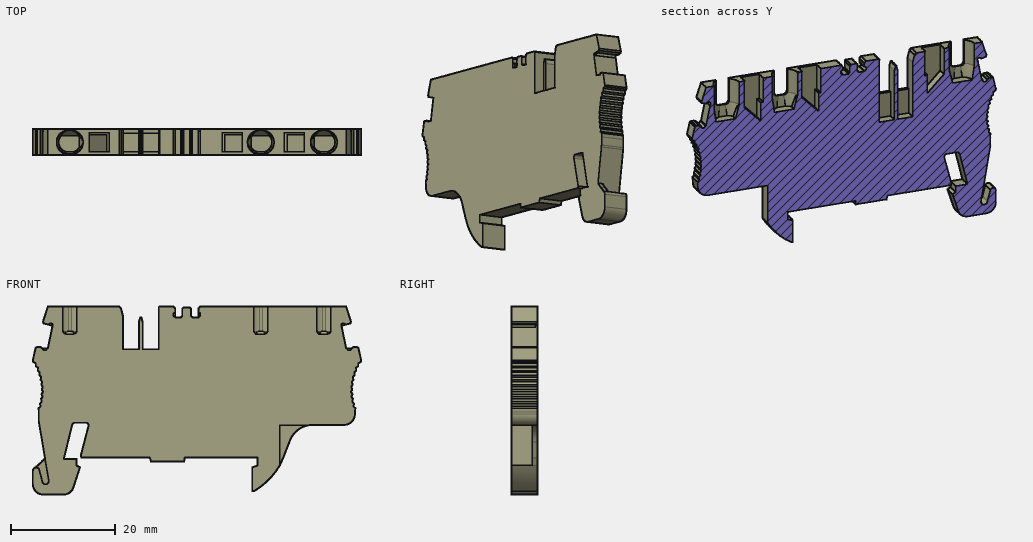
import cadquery as cq
import math

LENGTH = 62.8
THICKNESS = 5.0
HEIGHT = 36.0
FRONT = -THICKNESS / 2
BACK = THICKNESS / 2

BASE = 7.1
FLANGE = 13.3
PAD_BOTTOM = 6.35
JAW_TOP = 6.85
FOOT_TIP = 0.7
CLIP_STEP = 5.6

SHOULDER_IN = 2.9
LIP_OUTER = (1.95, 33.1)
LIP_CORNER = (2.1, 32.7)
NOTCH_TOP = (3.8, 32.3)
NOTCH_BOTTOM = (2.9, 28.0)
SHELF_CROWN = [(1.8, 28.0), (1.45, 28.3), (0.9, 28.3), (0.55, 28.15)]
END_TIP = 25.7
RELIEF_RADIUS = 0.41
NOTCH_RELIEFS_IN = [(3.45, 32.35), (2.3, 28.0)]
BACK_SKIN = 0.45

GRIP_RADIUS = 10.05
GRIP_DEEPEST = 1.7
GRIP_CENTRE_Z = 19.9
GRIP_TOP = 25.4
GRIP_BOTTOM = 16.5
GRIP_TEETH = 10
TOOTH_DEPTH = 0.25

LEG_X = 1.1
LEG_TOP = 15.8
LEG_BEND = 14.1
LEG_BEND_RADIUS = 2.2
HOOK_SLIT_RADIUS = 0.6
HOOK_SLIT_CENTRE = (2.45, 2.65)
HOOK_LIP_Z = 4.5
HOOK_LIP_CREST = (0.66, 5.18)
HOOK_LIP_INNER = (1.225, 4.87)
HOOK_ROUND = 2.1
HOOK_HEEL_X = 7.35
JAW_CORNER = (9.05, 5.2)
JAW_X = 8.4
SPRING_SLOT_BOTTOM_X = (5.95, 9.2)
SPRING_SLOT_TOP_X = (7.65, 10.8)
SPRING_SLOT_TOP = 13.75
SPRING_SLOT_ROUND = 0.5
SPRING_SLOT_LIP = 0.4
SPRING_SLOT_CHAMFER = 0.1
WEB_THICKNESS = 1.05
WEB_EDGE = [(0.3, 5.0), (0.55, 5.3), (1.6, 6.15), (2.4, 7.05)]
WEB_RIGHT_X = 3.8
WEB_LEFT_X = 1.6
WEB_BOTTOM = 1.6

PAD_BASE_X = (22.35, 29.1)
PAD_FACE_X = (22.6, 28.95)

FOOT_INNER_X = 43.0
FOOT_CLAW_X = 41.95
FOOT_CLAW_TOP = 5.3
FOOT_TIP_WIDTH = 0.4
FOOT_CURVE = (45.2, 2.95)
FOOT_BACK_X = 47.25
GUSSET_KNEE = (47.95, BASE)
GUSSET_CURVE = [(49.1, 10.2), (50.7, 12.4), (53.3, FLANGE)]
GUSSET_OVERLAP = 0.6
FLANGE_END_IN = 1.2
FLANGE_ROUND = 2.15

SLOT_LEFT = 17.3
SLOT_LEAD_IN = [(16.5, HEIGHT), (16.9, HEIGHT - 0.4), (SLOT_LEFT, HEIGHT - 1.8)]
SLOT_CHAMFER = 0.2
SLOT_RIGHT = 24.05
SLOT_FLOOR = HEIGHT - 8.15
BLADE_LEFT = 20.3
BLADE_RIGHT = 21.05
BLADE_SHOULDER = HEIGHT - 2.95
BLADE_TIP = HEIGHT - 2.1
BLADE_TIP_WIDTH = 0.25
CONTACT_Y = (-1.8, 1.7)
CONTACT_DEPTH = 5.0

LABEL_LEFT = 27.25
RIB_LEFT = 28.6
RIB_RIGHT = 30.3
LABEL_RIGHT = 31.65
LABEL_FLOOR = HEIGHT - 2.1
RIB_TOP = HEIGHT - 0.2
LABEL_CHAMFER = 0.4
RIB_CHAMFER = 0.25
LABEL_RELIEF_Z = HEIGHT - 1.6

DRIVER_HOLES = [(7.1, -1), (43.6, 1), (55.65, 1)]
DRIVER_WIDTH = 5.1
DRIVER_DEPTH_Y = 4.5
DRIVER_Y = -0.03
DRIVER_STRAIGHT = 4.8
DRIVER_DEPTH = 7.55
DRIVER_FLOOR_WIDTH = 4.3
DRIVER_FLOOR_DEPTH_Y = 3.8
DRIVER_FLAT_WIDTH = 4.0
DRIVER_FLAT_DEPTH_Y = 3.0
DRIVER_FLAT_SHIFT_X = 0.2
DRIVER_FLAT_SHIFT_Y = -0.28
WINDOW_WIDTH = 2.7
WINDOW_DEPTH = 5.3
WINDOW_ROUND = 0.75

WIRE_HOLES = [(10.8, 1, 0.45), (36.25, -1, 0.45), (48.1, -1, 0.55)]
WIRE_WIDTH = 3.85
WIRE_Y = (-1.8, 1.75)
WIRE_LEDGE_DEPTH = 5.0
WIRE_BACK_LEDGE = 0.3
WIRE_FLOOR_DEPTH = 8.8


def mirrored(point):
    """Same point measured in from the right end instead of the left."""
    return (LENGTH - point[0], point[1])


def grip_points():
    """Crests and roots of the left grip, from top to bottom."""
    centre_x = GRIP_DEEPEST - GRIP_RADIUS
    start = math.asin((GRIP_TOP - GRIP_CENTRE_Z) / GRIP_RADIUS)
    end = math.asin((GRIP_BOTTOM - GRIP_CENTRE_Z) / GRIP_RADIUS)
    half_step = (end - start) / (2 * GRIP_TEETH)
    points = []
    for i in range(2 * GRIP_TEETH + 1):
        angle = start + i * half_step
        radius = GRIP_RADIUS + TOOTH_DEPTH * (i % 2)
        points.append((centre_x + radius * math.cos(angle), GRIP_CENTRE_Z + radius * math.sin(angle)))
    return points


def end_points():
    """Left end from the top shoulder down to the bottom of the grip."""
    lip = [(SHOULDER_IN, HEIGHT), LIP_OUTER, LIP_CORNER]
    return lip + [NOTCH_TOP, NOTCH_BOTTOM] + SHELF_CROWN + [(0, END_TIP)] + grip_points()


def extruded(outline, y_low, y_high):
    """Extrude a closed XZ outline between two Y positions."""
    return outline.extrude(y_high - y_low).translate((0, y_high, 0))


def prism(points, y_low, y_high):
    return extruded(cq.Workplane("XZ").polyline(points).close(), y_low, y_high)


def box(x_range, y_range, z_range):
    size = [high - low for low, high in (x_range, y_range, z_range)]
    corner = (x_range[0], y_range[0], z_range[0])
    return cq.Workplane("XY").box(*size, centered=False).translate(corner)


def round_corner(body, x, z, radius):
    """Fillet the edge along Y that passes through (x, z)."""
    return body.edges(cq.selectors.NearestToPointSelector((x, 0, z))).fillet(radius)


def main_body():
    slit_x, slit_z = HOOK_SLIT_CENTRE
    slot_bottom = SPRING_SLOT_BOTTOM_X
    slot_top = SPRING_SLOT_TOP_X
    right_end = [mirrored(p) for p in end_points()]
    outline = (
        cq.Workplane("XZ")
        .polyline(end_points())
        .lineTo(LEG_X, LEG_TOP)
        .lineTo(LEG_X, LEG_BEND)
        .lineTo(slit_x + HOOK_SLIT_RADIUS, slit_z)
        .threePointArc((slit_x, slit_z - HOOK_SLIT_RADIUS), (slit_x - HOOK_SLIT_RADIUS, slit_z))
        .lineTo(*HOOK_LIP_INNER)
        .threePointArc(HOOK_LIP_CREST, (0, HOOK_LIP_Z))
        .lineTo(0, 0)
        .lineTo(HOOK_HEEL_X, 0)
        .lineTo(*JAW_CORNER)
        .lineTo(JAW_X, CLIP_STEP)
        .lineTo(JAW_X, JAW_TOP)
        .lineTo(slot_bottom[0], JAW_TOP)
        .lineTo(slot_top[0], SPRING_SLOT_TOP)
        .lineTo(slot_top[1], SPRING_SLOT_TOP)
        .lineTo(slot_bottom[1], BASE + SPRING_SLOT_LIP)
        .lineTo(slot_bottom[1] + SPRING_SLOT_CHAMFER, BASE)
        .lineTo(PAD_BASE_X[0], BASE)
        .lineTo(PAD_FACE_X[0], PAD_BOTTOM)
        .lineTo(PAD_FACE_X[1], PAD_BOTTOM)
        .lineTo(PAD_BASE_X[1], BASE)
        .lineTo(FOOT_INNER_X, BASE)
        .lineTo(FOOT_INNER_X, CLIP_STEP)
        .lineTo(FOOT_CLAW_X, FOOT_CLAW_TOP)
        .lineTo(FOOT_CLAW_X, FOOT_TIP)
        .lineTo(FOOT_CLAW_X + FOOT_TIP_WIDTH, FOOT_TIP)
        .threePointArc(FOOT_CURVE, (FOOT_BACK_X, CLIP_STEP))
        .lineTo(FOOT_BACK_X, FLANGE)
        .lineTo(LENGTH - FLANGE_END_IN, FLANGE)
        .lineTo(LENGTH - FLANGE_END_IN, LEG_TOP)
    )
    for point in reversed(right_end):
        outline = outline.lineTo(*point)
    body = extruded(outline.close(), FRONT, BACK)
    body = round_corner(body, 0, 0, HOOK_ROUND)
    body = round_corner(body, HOOK_HEEL_X, 0, HOOK_ROUND)
    body = round_corner(body, LENGTH - FLANGE_END_IN, FLANGE, FLANGE_ROUND)
    body = round_corner(body, LEG_X, LEG_BEND, LEG_BEND_RADIUS)
    for corner_x in slot_top:
        body = round_corner(body, corner_x, SPRING_SLOT_TOP, SPRING_SLOT_ROUND)
    return body


def hook_web():
    """Thin wall at the back that closes the hook slit."""
    inside_body = [(WEB_RIGHT_X, WEB_EDGE[-1][1]), (WEB_RIGHT_X, WEB_BOTTOM), (WEB_LEFT_X, WEB_BOTTOM)]
    return prism(WEB_EDGE + inside_body, BACK - WEB_THICKNESS, BACK)


def foot_gusset():
    """Thin wall at the back between the foot and the flange."""
    curve_start, curve_middle, curve_end = GUSSET_CURVE
    overlap_x = FOOT_BACK_X - GUSSET_OVERLAP
    overlap_z = FLANGE + GUSSET_OVERLAP
    outline = (
        cq.Workplane("XZ")
        .moveTo(overlap_x, overlap_z)
        .lineTo(overlap_x, CLIP_STEP)
        .lineTo(FOOT_BACK_X, CLIP_STEP)
        .lineTo(*GUSSET_KNEE)
        .lineTo(*curve_start)
        .threePointArc(curve_middle, curve_end)
        .lineTo(curve_end[0], overlap_z)
        .close()
    )
    return extruded(outline, BACK - WEB_THICKNESS, BACK)


def bridge_slot():
    half_tip = BLADE_TIP_WIDTH / 2
    blade_x = (BLADE_LEFT + BLADE_RIGHT) / 2
    points = [
        *SLOT_LEAD_IN,
        (SLOT_LEFT, SLOT_FLOOR),
        (BLADE_LEFT, SLOT_FLOOR),
        (BLADE_LEFT, BLADE_SHOULDER),
        (blade_x - half_tip, BLADE_TIP),
        (blade_x + half_tip, BLADE_TIP),
        (BLADE_RIGHT, BLADE_SHOULDER),
        (BLADE_RIGHT, SLOT_FLOOR),
        (SLOT_RIGHT, SLOT_FLOOR),
        (SLOT_RIGHT, HEIGHT - SLOT_CHAMFER),
        (SLOT_RIGHT + SLOT_CHAMFER, HEIGHT),
    ]
    cut = prism(points, FRONT, BACK)
    for x_range in ((SLOT_LEFT, BLADE_LEFT), (BLADE_RIGHT, SLOT_RIGHT)):
        cut = cut.union(box(x_range, CONTACT_Y, (SLOT_FLOOR - CONTACT_DEPTH, SLOT_FLOOR)))
    return cut


def label_slots():
    chamfer = LABEL_CHAMFER
    rib_chamfer = RIB_CHAMFER
    points = [
        (LABEL_LEFT - chamfer, HEIGHT),
        (LABEL_LEFT, HEIGHT - chamfer),
        (LABEL_LEFT, LABEL_FLOOR),
        (RIB_LEFT - rib_chamfer, LABEL_FLOOR),
        (RIB_LEFT, LABEL_FLOOR + rib_chamfer),
        (RIB_LEFT, RIB_TOP - rib_chamfer),
        (RIB_LEFT + rib_chamfer, RIB_TOP),
        (RIB_RIGHT - rib_chamfer, RIB_TOP),
        (RIB_RIGHT, RIB_TOP - rib_chamfer),
        (RIB_RIGHT, LABEL_FLOOR + rib_chamfer),
        (RIB_RIGHT + rib_chamfer, LABEL_FLOOR),
        (LABEL_RIGHT, LABEL_FLOOR),
        (LABEL_RIGHT, HEIGHT - chamfer),
        (LABEL_RIGHT + chamfer, HEIGHT),
    ]
    return prism(points, FRONT, BACK)


def corner_reliefs():
    """Round undercuts in the notch and label slot corners, stopped by a thin skin at the back."""
    centres = NOTCH_RELIEFS_IN + [mirrored(p) for p in NOTCH_RELIEFS_IN]
    centres += [(LABEL_LEFT, LABEL_RELIEF_Z), (LABEL_RIGHT, LABEL_RELIEF_Z)]
    circles = cq.Workplane("XZ").pushPoints(centres).circle(RELIEF_RADIUS)
    return extruded(circles, FRONT, BACK - BACK_SKIN)


def driver_hole(x, side):
    """Oblong hole whose lower end tapers to a floor with flats, open to the front through a window."""
    taper_top = cq.Workplane("XY", origin=(x, DRIVER_Y, HEIGHT - DRIVER_STRAIGHT))
    taper_drop = DRIVER_STRAIGHT - DRIVER_DEPTH
    upper = taper_top.slot2D(DRIVER_WIDTH, DRIVER_DEPTH_Y).extrude(DRIVER_STRAIGHT)
    oblong_taper = (
        taper_top.slot2D(DRIVER_WIDTH, DRIVER_DEPTH_Y)
        .workplane(offset=taper_drop)
        .slot2D(DRIVER_FLOOR_WIDTH, DRIVER_FLOOR_DEPTH_Y)
        .loft()
    )
    flat_taper = (
        taper_top.rect(DRIVER_WIDTH, DRIVER_DEPTH_Y)
        .workplane(offset=taper_drop)
        .center(side * DRIVER_FLAT_SHIFT_X, DRIVER_FLAT_SHIFT_Y)
        .rect(DRIVER_FLAT_WIDTH, DRIVER_FLAT_DEPTH_Y)
        .loft()
    )
    lower = oblong_taper.intersect(flat_taper)
    half = WINDOW_WIDTH / 2
    window = box((x - half, x + half), (FRONT, DRIVER_Y), (HEIGHT - WINDOW_DEPTH, HEIGHT))
    window = window.edges("|Y and <Z").fillet(WINDOW_ROUND)
    return upper.union(lower).union(window)


def wire_hole(x_low, side, ledge):
    """Rectangular entry stepped in on two sides, with a 45 degree floor falling toward the side ledge."""
    x_high = x_low + WIRE_WIDTH
    ledge_z = HEIGHT - WIRE_LEDGE_DEPTH
    upper = box((x_low, x_high), WIRE_Y, (ledge_z, HEIGHT))
    wall_x, ledge_x = (x_low, x_high - ledge) if side > 0 else (x_high, x_low + ledge)
    floor_z = HEIGHT - WIRE_FLOOR_DEPTH
    floor_rise = WIRE_WIDTH - ledge
    points = [(ledge_x, ledge_z), (ledge_x, floor_z), (wall_x, floor_z + floor_rise), (wall_x, ledge_z)]
    return upper.union(prism(points, WIRE_Y[0], WIRE_Y[1] - WIRE_BACK_LEDGE))


result = main_body().union(hook_web()).union(foot_gusset())
result = result.cut(bridge_slot()).cut(label_slots()).cut(corner_reliefs())
for centre_x, floor_side in DRIVER_HOLES:
    result = result.cut(driver_hole(centre_x, floor_side))
for low_x, ledge_side, ledge_width in WIRE_HOLES:
    result = result.cut(wire_hole(low_x, ledge_side, ledge_width))